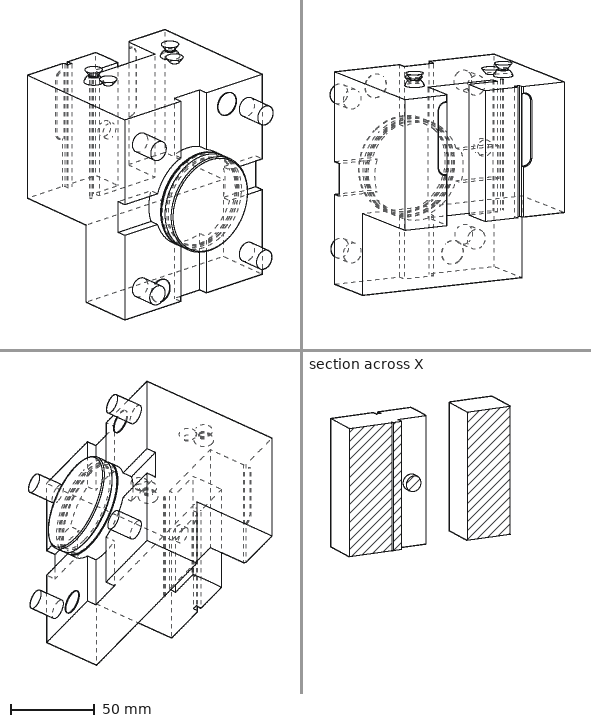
import cadquery as cq


body_length = 90.0
body_width = 108.0
body_height = 130.0
leg_height = 50.0
head_overhang = 54.0

slot_depth = 25.0
slot_low_y = 28.7
slot_high_y = 79.0
slot_lip_chamfer = 1.0

jaw_face_y = 53.6
jaw_face_crown = 0.35
jaw_thickness = 20.5
jaw_foot_front_y = 34.7
jaw_foot_back_y = 35.2
jaw_corner_chamfer = 1.2
jaw_notch_depth = 3.6
jaw_notch_front_y = 31.4
jaw_notch_back_y = 31.9
clamp_screw_diameter = 10.0
clamp_screw_y = 43.2

recess_top = 126.0
recess_bottom = 80.7
recess_reach = 6.6
recess_corner = 5.4
recess_depth = 0.5

center_y = body_width / 2
center_z = body_height / 2
key_width = 20.0
key_depth = 6.0
spigot_radius = 30.0
spigot_length = 15.4
spigot_chamfer = 0.8
groove_start = 4.8
groove_end = 9.0
groove_depth = 2.5
seal_ring_radius = 1.3

bolt_diameter = 12.1
bolt_offset_y = 42.0
bolt_offset_z = 47.0
upper_bolt_length = 17.0
lower_bolt_length = 16.0
disc_diameter = 14.5
disc_thickness = 0.5
disc_offset_y = 26.0
disc_offset_z = 53.5

nozzle_x = 33.0
nozzle_offset_y = 30.0
nozzle_top = 7.5
plug_x = 41.8
plug_offset_y = 26.0
cone_radius = 5.2
cone_neck_radius = 2.8
cone_height = 3.2
dome_base_radius = 5.9
dome_top_radius = 3.2
dome_height = 3.6
dome_mid_radius = 5.0
dome_mid_height = 1.9


def box(x_range, y_range, z_range):
    """Box between two limits on each axis."""
    size = [high - low for low, high in (x_range, y_range, z_range)]
    corner = (x_range[0], y_range[0], z_range[0])
    return cq.Workplane("XY").box(*size, centered=False).translate(corner)


def rod(diameter, x_start, x_end, y, z):
    """Round rod along X."""
    plane = cq.Workplane("YZ", origin=(x_start, y, z))
    return plane.circle(diameter / 2).extrude(x_end - x_start)


def make_body():
    side = [
        (0, leg_height),
        (head_overhang, leg_height),
        (head_overhang, 0),
        (body_length, 0),
        (body_length, body_height),
        (0, body_height),
    ]
    return cq.Workplane("XZ").polyline(side).close().extrude(-body_width)


def make_slot():
    outline = [
        (0, slot_low_y - slot_lip_chamfer),
        (slot_lip_chamfer, slot_low_y),
        (slot_depth, slot_low_y),
        (slot_depth, slot_high_y),
        (slot_lip_chamfer, slot_high_y),
        (0, slot_high_y + slot_lip_chamfer),
    ]
    return cq.Workplane("XY").polyline(outline).close().extrude(body_height)


def make_recess(y_start, y_end):
    """Shallow recess in the -X face with 45 degree walls; one side opens into the slot."""
    width = y_end - y_start
    height = recess_top - recess_bottom
    middle = (0, (y_start + y_end) / 2, (recess_top + recess_bottom) / 2)
    outline = cq.Sketch().rect(width, height).vertices().fillet(recess_corner)
    return cq.Workplane("YZ", origin=middle).placeSketch(outline).extrude(recess_depth, taper=45)


def make_jaw():
    jaw = (
        cq.Workplane("XY", origin=(0, 0, leg_height))
        .moveTo(0, jaw_notch_front_y)
        .lineTo(0, jaw_face_y)
        .threePointArc((jaw_thickness / 2, jaw_face_y + jaw_face_crown), (jaw_thickness, jaw_face_y))
        .lineTo(jaw_thickness, jaw_foot_front_y)
        .lineTo(slot_depth, jaw_foot_back_y)
        .lineTo(slot_depth, slot_low_y + jaw_corner_chamfer)
        .lineTo(slot_depth - jaw_corner_chamfer, slot_low_y)
        .lineTo(jaw_notch_depth, slot_low_y)
        .lineTo(jaw_notch_depth, jaw_notch_back_y)
        .close()
        .extrude(body_height - leg_height)
    )
    screw_z = (leg_height + body_height) / 2
    screw = rod(clamp_screw_diameter, jaw_thickness, slot_depth, clamp_screw_y, screw_z)
    return jaw.union(screw)


def make_spigot():
    """Turned spigot with a round-topped seal ring against the near wall of its groove."""
    floor_radius = spigot_radius - groove_depth
    ring_shoulder = spigot_radius - seal_ring_radius
    ring_middle = groove_start + seal_ring_radius
    ring_end = ring_middle + seal_ring_radius
    return (
        cq.Workplane("XY", origin=(body_length, center_y, center_z))
        .moveTo(-key_depth, 0)
        .lineTo(-key_depth, spigot_radius)
        .lineTo(groove_start, spigot_radius)
        .lineTo(groove_start, ring_shoulder)
        .threePointArc((ring_middle, spigot_radius), (ring_end, ring_shoulder))
        .lineTo(ring_end, floor_radius)
        .lineTo(groove_end, floor_radius)
        .lineTo(groove_end, spigot_radius)
        .lineTo(spigot_length - spigot_chamfer, spigot_radius)
        .lineTo(spigot_length, spigot_radius - spigot_chamfer)
        .lineTo(spigot_length, 0)
        .close()
        .revolve(360, (0, 0, 0), (1, 0, 0))
    )


def make_cone(x, y, top):
    """Flared cone, widest at its top and reaching down to its neck."""
    cone = cq.Solid.makeCone(cone_neck_radius, cone_radius, cone_height)
    return cq.Workplane(cone.translate(cq.Vector(x, y, top - cone_height)))


def make_nozzle(x, y):
    """Domed nozzle carrying a short neck and a flared cone."""
    neck_top = nozzle_top - cone_height
    dome = (
        cq.Workplane("XZ", origin=(x, y, body_height))
        .lineTo(dome_base_radius, 0)
        .threePointArc((dome_mid_radius, dome_mid_height), (dome_top_radius, dome_height))
        .lineTo(cone_neck_radius, dome_height)
        .lineTo(cone_neck_radius, neck_top)
        .lineTo(0, neck_top)
        .close()
        .revolve(360, (0, 0, 0), (0, 1, 0))
    )
    return dome.union(make_cone(x, y, body_height + nozzle_top))


result = make_body().cut(make_slot())

result = result.cut(make_recess(slot_low_y - recess_reach, slot_low_y + recess_reach))
result = result.cut(make_recess(slot_high_y - recess_reach, slot_high_y + recess_reach))

result = result.union(make_jaw())

key_x = (body_length - key_depth, body_length)
key_y = (center_y - key_width / 2, center_y + key_width / 2)
key_z = (center_z - key_width / 2, center_z + key_width / 2)
result = result.cut(box(key_x, key_y, (0, body_height)))
result = result.cut(box(key_x, (0, body_width), key_z))
result = result.union(make_spigot())

for side in (-1, 1):
    bolt_y = center_y + side * bolt_offset_y
    for level, length in ((1, upper_bolt_length), (-1, lower_bolt_length)):
        bolt_z = center_z + level * bolt_offset_z
        result = result.union(rod(bolt_diameter, body_length, body_length + length, bolt_y, bolt_z))

    disc_y = center_y + side * disc_offset_y
    disc_z = center_z + side * disc_offset_z
    result = result.union(rod(disc_diameter, body_length, body_length + disc_thickness, disc_y, disc_z))

    result = result.union(make_nozzle(nozzle_x, center_y + side * nozzle_offset_y))
    plug = make_cone(plug_x, center_y + side * plug_offset_y, body_height + cone_height)
    result = result.union(plug)